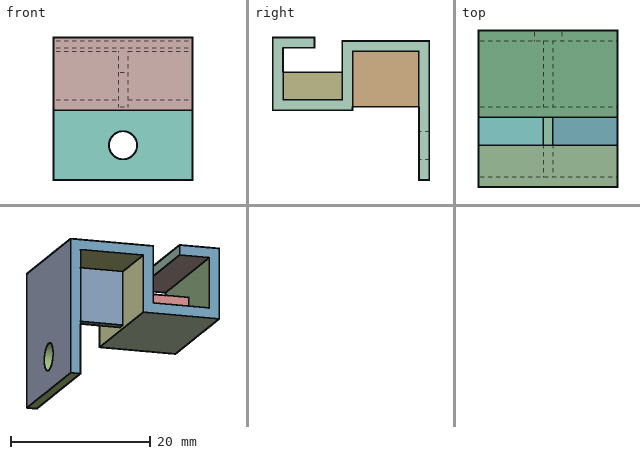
import cadquery as cq

width = 20.0
depth = 22.5
height = 20.5
wall = 1.5

channel_bottom = 10.0
step_back = 11.5
lip_reach = 6.0
lip_rise = 0.5

rib_thickness = 1.4
channel_rib_height = 4.0
rear_rib_bottom = 10.5

hole_diameter = 4.0
hole_height = 5.0

step_front = step_back - wall
back_inner = depth - wall
plate_top = height - lip_rise
plate_bottom = plate_top - wall
channel_floor = channel_bottom + wall


def make_strip():
    """Bent strip: back plate, top plate, step wall, channel floor, front wall and lip."""
    outline = [
        (0, channel_bottom),
        (step_back, channel_bottom),
        (step_back, plate_bottom),
        (back_inner, plate_bottom),
        (back_inner, 0),
        (depth, 0),
        (depth, plate_top),
        (step_front, plate_top),
        (step_front, channel_floor),
        (wall, channel_floor),
        (wall, height - wall),
        (lip_reach, height - wall),
        (lip_reach, height),
        (0, height),
    ]
    return cq.Workplane("YZ").polyline(outline).close().extrude(width / 2, both=True)


def make_rib(y_start, y_end, z_bottom, z_top):
    """Central web between two walls, reaching into them halfway for a clean union."""
    overlap = wall / 2
    length = y_end - y_start + 2 * overlap
    return cq.Workplane("XY").box(
        rib_thickness, length, z_top - z_bottom, centered=(True, False, False)
    ).translate((0, y_start - overlap, z_bottom))


def make_screw_hole():
    """Cutter for the screw hole through the back plate."""
    return (
        cq.Workplane("XZ", origin=(0, depth, hole_height))
        .circle(hole_diameter / 2)
        .extrude(wall)
    )


channel_rib = make_rib(wall, step_front, channel_floor, channel_floor + channel_rib_height)
rear_rib = make_rib(step_back, back_inner, rear_rib_bottom, plate_bottom)

result = make_strip().union(channel_rib).union(rear_rib).cut(make_screw_hole())